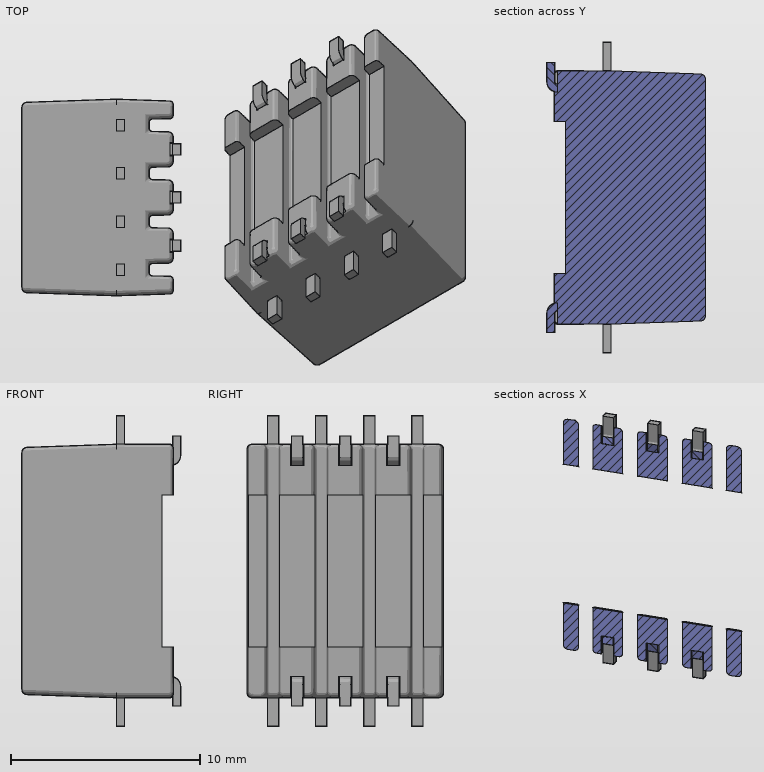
import cadquery as cq
import math

parting_width = 10.4
parting_height = 13.4
cover_depth = 5.0
base_depth = 3.0
housing_draft = 2.0
edge_radius = 0.3
leg_back_radius = 0.2

pitch = 2.55
pin_count = 4
lead_width = 0.6
lead_thickness = 0.43
pin_length = 16.4

slot_floor = 1.74
slot_floor_width = 0.64
slot_draft = 1.0
slot_corner_radius = 0.16

recess_floor = 2.41
recess_height = 8.0

foot_count = 3
foot_back = 3.4
foot_tip = 7.13
foot_bend_radius = 0.1
foot_bottom = 5.58
pocket_depth = 0.16
pocket_clearance = 0.05

foot_front = foot_back - lead_thickness
pocket_floor = base_depth - pocket_depth
half_width = parting_width / 2
half_height = parting_height / 2
outer_leg_start = (pin_count - 1) / 2 * pitch
tolerance = 0.02


def centred_row(count):
    """Y positions of evenly pitched items, centred on Y = 0."""
    return [(i - (count - 1) / 2) * pitch for i in range(count)]


def make_cover():
    """Drafted block with every edge rounded except those on the parting plane."""
    block = cq.Workplane("ZY").rect(parting_height, parting_width).extrude(cover_depth, taper=housing_draft)
    return block.edges("not >X").fillet(edge_radius)


def base_outline():
    """Comb-shaped outline of the base in X and Y."""
    back_half_width = half_width - base_depth * math.tan(math.radians(housing_draft))
    floor_half = slot_floor_width / 2
    mouth_half = floor_half + (base_depth - slot_floor) * math.tan(math.radians(slot_draft))
    points = [(0, -half_width), (base_depth, -back_half_width)]
    for y in centred_row(pin_count):
        points += [
            (base_depth, y - mouth_half),
            (slot_floor, y - floor_half),
            (slot_floor, y + floor_half),
            (base_depth, y + mouth_half),
        ]
    points += [(base_depth, back_half_width), (0, half_width)]
    return points


def is_slot_corner(edge):
    """True for the concave edges along Z at the floor of each slot."""
    box = edge.BoundingBox()
    return abs(box.center.x - slot_floor) < tolerance and box.zlen > half_height


def is_outer_leg_back(edge):
    """True for the edges where the two outer legs meet the back face."""
    return edge.BoundingBox().xmin > base_depth - tolerance and abs(edge.Center().y) > outer_leg_start


def make_base():
    """Comb-shaped block with rounded edges and a recess across its back."""
    base = cq.Workplane("XY").polyline(base_outline()).close().extrude(half_height, both=True)

    outer_edges = base.edges("not <X").filter(lambda edge: not is_slot_corner(edge))
    base = outer_edges.filter(lambda edge: not is_outer_leg_back(edge)).fillet(edge_radius)
    base = base.edges().filter(is_outer_leg_back).fillet(leg_back_radius)
    base = base.edges().filter(is_slot_corner).fillet(slot_corner_radius)

    recess = cq.Workplane("XY").box(base_depth, parting_width, recess_height, centered=(False, True, True))
    return base.cut(recess.translate((recess_floor, 0, 0)))


def make_pins():
    """Straight pins through the full height, just behind the parting plane."""
    pin = cq.Workplane("XY").box(lead_thickness, lead_width, pin_length, centered=(False, True, True))
    pins = cq.Workplane("XY")
    for y in centred_row(pin_count):
        pins = pins.union(pin.translate((0, y, 0)))
    return pins


def make_foot(y, top):
    """L-shaped foot with a horizontal leg from the pocket floor and a rounded bend."""
    outer_radius = foot_bend_radius + lead_thickness
    foot = (
        cq.Workplane("XZ", origin=(0, y + lead_width / 2, 0))
        .moveTo(pocket_floor, foot_bottom)
        .lineTo(foot_back - outer_radius, foot_bottom)
        .radiusArc((foot_back, foot_bottom + outer_radius), -outer_radius)
        .lineTo(foot_back, foot_tip)
        .lineTo(foot_front, foot_tip)
        .lineTo(foot_front, foot_bottom + outer_radius)
        .radiusArc((foot_front - foot_bend_radius, foot_bottom + lead_thickness), foot_bend_radius)
        .lineTo(pocket_floor, foot_bottom + lead_thickness)
        .close()
        .extrude(lead_width)
    )
    return foot if top else foot.mirror("XY")


def make_pocket(y, top):
    """Cutter for the open-topped pocket that a foot rises out of."""
    height = foot_tip - foot_bottom
    width = lead_width + 2 * pocket_clearance
    pocket = (
        cq.Workplane("XY")
        .box(base_depth, width, height, centered=(False, True, False))
        .translate((pocket_floor, y, foot_bottom))
    )
    return pocket if top else pocket.mirror("XY")


foot_places = [(y, top) for top in (True, False) for y in centred_row(foot_count)]

housing = make_cover().union(make_base()).union(make_pins())
for y, top in foot_places:
    housing = housing.cut(make_pocket(y, top))

feet = [make_foot(y, top).val() for y, top in foot_places]

result = cq.Compound.makeCompound([housing.val(), *feet])